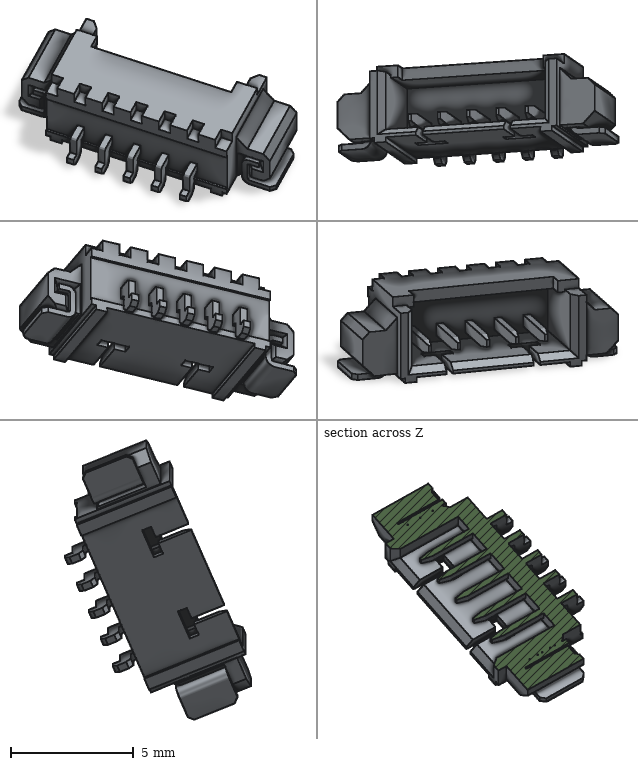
import cadquery as cq

contact_count = 5
pitch = 1.25
contact_width = 0.3
contact_thickness = 0.5
contact_top = 1.37
contact_shoulder_y = 3.0
contact_tip_y = 3.5
contact_tip_width = 0.12
contact_tip_thickness = 0.3
leg_inner_y = -0.2
leg_outer_y = -0.68
toe_y = -1.0
toe_chamfer = 0.2
knee_radius = 0.13

body_width = 8.0
body_depth = 4.2
body_top = 3.4
body_bottom = 0.2
side_wall = 0.6
floor_top = 0.6
roof_bottom = 2.9
back_wall = 1.0
side_wall_top = 3.0
roof_end_y = 3.2
roof_cutout_y = 2.6
roof_cutout_width = 6.2
mouth_chamfer_depth = 0.32
mouth_chamfer_width = 0.26
notch_width = 0.5
notch_length = 0.6
notch_depth = 0.5
recess_depth = 0.1
recess_bottom = 0.5
recess_top = 2.5
foot_width = 0.5
foot_inset = 0.2
floor_slot_width = 0.28
floor_slot_start_y = 2.35
cross_slot_end_y = 2.75

wing_front_y = 1.0
wing_back_y = 3.8
wing_outer_x = 5.5
wing_inner_x = 4.5
wing_top = 2.2
wing_bottom = 0.3
wing_top_chamfer = 0.3
wing_bottom_chamfer = 0.5
lead_in = 0.2

clip_thickness = 0.25
clip_back_y = 3.2
clip_limb_x = 4.25
clip_arm_end_x = 5.0
clip_top = 1.51
clip_plate_end_x = 5.7
clip_plate_chamfer = 0.2
clip_lower_radius = 0.4
clip_upper_radius = 0.35
arm_clearance = 0.02
slot_corner = 0.13
slot_exit = 0.15

half_width = body_width / 2
half_cavity = half_width - side_wall
contact_positions = [(i - (contact_count - 1) / 2) * pitch for i in range(contact_count)]
floor_slot_offset = contact_positions[-1] - pitch / 2


def block(x_range, y_range, z_range):
    """Box spanning the given (low, high) ranges."""
    sizes = [high - low for low, high in (x_range, y_range, z_range)]
    corner = cq.Vector(x_range[0], y_range[0], z_range[0])
    return cq.Workplane(cq.Solid.makeBox(*sizes, corner))


def centred(width, middle=0.0):
    """Range of the given width about its middle."""
    return (middle - width / 2, middle + width / 2)


def prism_along_y(points, y_start, y_end):
    """Prism of an X-Z outline between two Y positions."""
    plane = cq.Workplane("XZ", origin=(0, y_start, 0))
    return plane.polyline(points).close().extrude(y_start - y_end)


def round_edge(solid, point, radius):
    """Fillet the edge whose centre is nearest to the point."""
    return solid.edges(cq.NearestToPointSelector(point)).fillet(radius)


def both_sides(left):
    """The left-hand solid together with its mirror image."""
    return left.union(left.mirror("YZ"))


def make_cavity():
    """Mating cavity, flared at its mouth along the side walls and the floor."""
    cavity = block(
        (-half_cavity, half_cavity), (back_wall, body_depth), (floor_top, roof_bottom)
    )
    flare_start = body_depth - mouth_chamfer_depth
    height = body_top - floor_top
    narrow_middle_z = floor_top + height / 2
    wide_height = height + mouth_chamfer_width
    flare = (
        cq.Workplane("XZ", origin=(0, flare_start, narrow_middle_z))
        .rect(2 * half_cavity, height)
        .workplane(offset=-mouth_chamfer_depth)
        .center(0, -mouth_chamfer_width / 2)
        .rect(2 * (half_cavity + mouth_chamfer_width), wide_height)
        .loft(ruled=True)
    )
    return cavity.union(flare)


def make_housing():
    """Housing shell with its cut-away roof and the two feet below."""
    body = block((-half_width, half_width), (0, body_depth), (body_bottom, body_top))
    body = body.cut(make_cavity())

    step = block(
        (-half_width, half_width), (roof_end_y, body_depth), (side_wall_top, body_top)
    )
    opening = block(
        (-half_cavity, half_cavity), (roof_end_y, body_depth), (roof_bottom, body_top)
    )
    cutout = block(centred(roof_cutout_width), (roof_cutout_y, roof_end_y), (roof_bottom, body_top))
    body = body.cut(step).cut(opening).cut(cutout)

    recess = block((-half_width, half_width), (0, recess_depth), (recess_bottom, recess_top))
    body = body.cut(recess)

    foot_start = -half_width + foot_inset
    foot = block((foot_start, foot_start + foot_width), (0, body_depth), (0, body_bottom))
    return body.union(both_sides(foot))


def cut_roof_notches(body):
    """Notches in the front roof edge, one above each contact and one at each corner."""
    notch_z = (body_top - notch_depth, body_top)
    for x in contact_positions:
        body = body.cut(block(centred(notch_width, x), (0, notch_length), notch_z))
    corner = block((-half_width, -half_width + notch_width), (0, notch_length), notch_z)
    return body.cut(both_sides(corner))


def cut_floor_slots(body):
    """T-shaped slots through the floor, between the two outermost contacts of each side."""
    floor_z = (body_bottom, floor_top)
    stem = block(
        centred(floor_slot_width, -floor_slot_offset), (floor_slot_start_y, body_depth), floor_z
    )
    cross = block(
        centred(pitch, -floor_slot_offset), (floor_slot_start_y, cross_slot_end_y), floor_z
    )
    return body.cut(both_sides(stem.union(cross)))


def make_wing():
    """Left wing holding the solder clip in a slot with a flared front opening."""
    slope_top = wing_top + wing_inner_x - half_width
    wing = prism_along_y(
        [
            (-half_width, wing_bottom),
            (-half_width, slope_top),
            (-wing_inner_x, wing_top),
            (-wing_outer_x + wing_top_chamfer, wing_top),
            (-wing_outer_x, wing_top - wing_top_chamfer),
            (-wing_outer_x, wing_bottom + wing_bottom_chamfer),
            (-wing_outer_x + wing_bottom_chamfer, wing_bottom),
        ],
        wing_front_y,
        wing_back_y,
    )
    wedge = (
        cq.Workplane("YZ", origin=(-wing_outer_x, 0, 0))
        .polyline(
            [
                (wing_front_y, wing_bottom),
                (wing_front_y + lead_in, wing_bottom),
                (wing_front_y, wing_bottom + lead_in),
            ]
        )
        .close()
        .extrude(wing_outer_x - clip_limb_x)
    )
    return wing.cut(wedge).cut(make_clip_slot())


def make_clip_slot():
    """Cutter for the left clip slot, flared at the front opening and at the bottom edges."""
    arm_top = clip_top + arm_clearance
    arm_bottom = clip_top - clip_thickness - arm_clearance
    limb_right = -clip_limb_x
    limb_left = limb_right - clip_thickness
    slot = prism_along_y(
        [
            (limb_right + slot_exit, wing_bottom),
            (limb_right, wing_bottom + slot_exit),
            (limb_right, arm_top),
            (-clip_arm_end_x, arm_top),
            (-clip_arm_end_x, arm_bottom),
            (limb_left - slot_corner, arm_bottom),
            (limb_left, arm_bottom - slot_corner),
            (limb_left, wing_bottom + slot_exit),
            (limb_left - slot_exit, wing_bottom),
        ],
        wing_front_y,
        clip_back_y,
    )

    def opening_outline(margin):
        """Slot outline with sharp corners, widened by the margin."""
        return [
            (limb_right + margin, wing_bottom),
            (limb_right + margin, arm_top + margin),
            (-clip_arm_end_x - margin, arm_top + margin),
            (-clip_arm_end_x - margin, arm_bottom - margin),
            (limb_left - margin, arm_bottom - margin),
            (limb_left - margin, wing_bottom),
        ]

    flare = (
        cq.Workplane("XZ", origin=(0, wing_front_y + lead_in, 0))
        .polyline(opening_outline(0))
        .close()
        .workplane(offset=lead_in)
        .polyline(opening_outline(lead_in))
        .close()
        .loft(ruled=True)
    )
    return slot.union(flare)


def make_clip():
    """Left solder clip: a bent strip with a foot plate, a limb and an arm in the wing."""
    limb_outer = -clip_limb_x
    limb_inner = limb_outer - clip_thickness
    arm_bottom = clip_top - clip_thickness
    clip = prism_along_y(
        [
            (-clip_plate_end_x, 0),
            (limb_outer, 0),
            (limb_outer, clip_top),
            (-clip_arm_end_x, clip_top),
            (-clip_arm_end_x, arm_bottom),
            (limb_inner, arm_bottom),
            (limb_inner, clip_thickness),
            (-clip_plate_end_x, clip_thickness),
        ],
        wing_front_y,
        clip_back_y,
    )
    clip = clip.edges("<X and |Z").chamfer(clip_plate_chamfer)
    middle_y = (wing_front_y + clip_back_y) / 2
    clip = round_edge(clip, (limb_outer, middle_y, 0), clip_lower_radius)
    clip = round_edge(
        clip, (limb_inner, middle_y, clip_thickness), clip_lower_radius - clip_thickness
    )
    clip = round_edge(clip, (limb_outer, middle_y, clip_top), clip_upper_radius)
    return round_edge(clip, (limb_inner, middle_y, arm_bottom), clip_upper_radius - clip_thickness)


def make_contact(x):
    """Bent contact: tapered blade in the cavity, leg and toe in front of the housing."""
    contact_bottom = contact_top - contact_thickness
    outline = [
        (contact_shoulder_y, contact_bottom),
        (contact_shoulder_y, contact_top),
        (leg_outer_y, contact_top),
        (leg_outer_y, contact_thickness),
        (toe_y, contact_thickness),
        (toe_y, 0),
        (leg_inner_y, 0),
        (leg_inner_y, contact_bottom),
    ]
    strip_start = x - contact_width / 2
    strip = (
        cq.Workplane("YZ", origin=(strip_start, 0, 0)).polyline(outline).close().extrude(contact_width)
    )
    strip = round_edge(strip, (x, leg_outer_y, contact_top), knee_radius)
    strip = round_edge(strip, (x, leg_inner_y, contact_bottom), knee_radius)
    strip = strip.faces("<Z").edges("|X").chamfer(toe_chamfer)
    middle_z = contact_top - contact_thickness / 2
    tip = (
        cq.Workplane("XZ", origin=(x, contact_shoulder_y, middle_z))
        .rect(contact_width, contact_thickness)
        .workplane(offset=contact_shoulder_y - contact_tip_y)
        .rect(contact_tip_width, contact_tip_thickness)
        .loft(ruled=True)
    )
    return strip.union(tip)


result = cut_floor_slots(cut_roof_notches(make_housing()))
result = result.union(both_sides(make_wing()))
result = result.union(both_sides(make_clip()))
for contact_x in contact_positions:
    result = result.union(make_contact(contact_x))
result = result.solids()